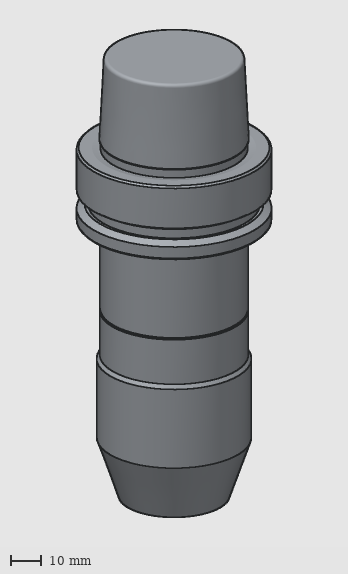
import cadquery as cq
import math

total_length = 154.4
shank_length = 32.0
taper_gauge_radius = 24.0
taper_gauge_height = 6.3
taper_slope = 1 / 20
taper_start_height = 3.0
shank_round = 1.2

neck_radius = 23.8
neck_step_height = 0.5
recess_outer_radius = 26.5
recess_floor_radius = 24.5
recess_depth = 0.3

flange_radius = 31.5
flange_width = 26.0
flange_chamfer = 0.7
groove_center_depth = 18.0
groove_width = 6.6
groove_floor_radius = 27.8
groove_flank_depth = 2.6
groove_flank_angle = 30.0

body_radius = 24.0
ring_groove_height = 65.5
ring_groove_width = 0.7
ring_groove_depth = 0.3

sleeve_radius = 25.0
sleeve_top = 49.5
sleeve_chamfer_height = 1.4
sleeve_chamfer_depth = 1.0
nose_length = 20.4
nose_end_radius = 18.0

flange_top = total_length - shank_length
flange_bottom = flange_top - flange_width
groove_center = flange_top - groove_center_depth
taper_start = flange_top + taper_start_height


def taper_radius(height):
    """Radius of the taper shank at a given height."""
    return taper_gauge_radius - taper_slope * (height - flange_top - taper_gauge_height)


def half_profile():
    """Solid half section in the XZ plane, traced from the nose to the shank end."""
    flank_rise = groove_flank_depth * math.tan(math.radians(groove_flank_angle))
    flank_inner_radius = flange_radius - groove_flank_depth
    mouth_half = groove_width / 2
    floor_half = mouth_half - flank_rise
    return (
        cq.Workplane("XZ")
        .moveTo(0, 0)
        .lineTo(nose_end_radius, 0)
        .lineTo(sleeve_radius, nose_length)
        .lineTo(sleeve_radius, sleeve_top - sleeve_chamfer_height)
        .lineTo(sleeve_radius - sleeve_chamfer_depth, sleeve_top)
        .lineTo(body_radius, flange_bottom)
        .lineTo(flange_radius - flange_chamfer, flange_bottom)
        .lineTo(flange_radius, flange_bottom + flange_chamfer)
        .lineTo(flange_radius, groove_center - mouth_half)
        .lineTo(flank_inner_radius, groove_center - floor_half)
        .lineTo(groove_floor_radius, groove_center - floor_half)
        .lineTo(groove_floor_radius, groove_center + floor_half)
        .lineTo(flank_inner_radius, groove_center + floor_half)
        .lineTo(flange_radius, groove_center + mouth_half)
        .lineTo(flange_radius, flange_top - flange_chamfer)
        .lineTo(flange_radius - flange_chamfer, flange_top)
        .lineTo(recess_outer_radius, flange_top)
        .lineTo(recess_floor_radius, flange_top - recess_depth)
        .lineTo(neck_radius, flange_top - recess_depth)
        .lineTo(neck_radius, taper_start - neck_step_height)
        .lineTo(taper_radius(taper_start), taper_start)
        .lineTo(taper_radius(total_length), total_length)
        .lineTo(0, total_length)
        .close()
    )


def ring_groove():
    """Narrow V-shaped ring that marks the joint on the body."""
    half_width = ring_groove_width / 2
    return (
        cq.Workplane("XZ")
        .moveTo(body_radius, ring_groove_height - half_width)
        .lineTo(body_radius - ring_groove_depth, ring_groove_height)
        .lineTo(body_radius, ring_groove_height + half_width)
        .close()
        .revolve(360, (0, 0), (0, 1))
    )


holder = half_profile().revolve(360, (0, 0), (0, 1))
holder = holder.faces(">Z").edges().fillet(shank_round)
result = holder.cut(ring_groove())